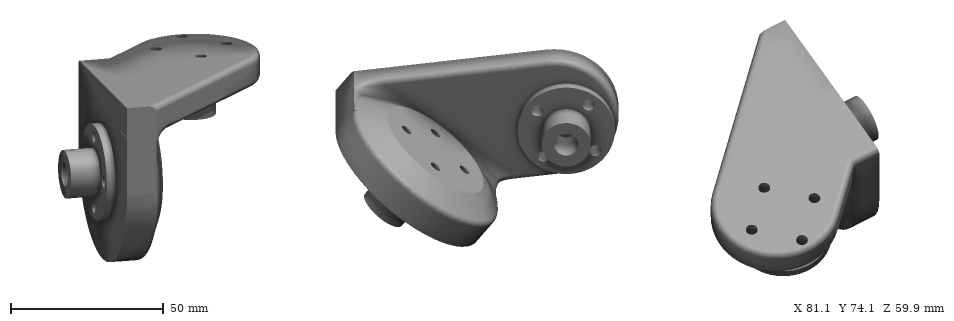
import cadquery as cq
import math

overall_length = 81.1
width = overall_length / (1 + math.sqrt(1 / 8))
plate = 10.0
arm_radius = width / math.sqrt(8)
arm_center_y = plate + arm_radius * math.sqrt(2)
edge_fillet = 1.95
corner_fillet = 5.0
upright_radius = width / 2
upright_center_z = -upright_radius

boss_top_y = 15.0
boss_top_radius = upright_radius - plate
boss_base_radius = 30.7

pad_width = 7.7
pad_height = upright_radius - plate
pad_rise = 0.1

flange_radius = 16.0
flange_thickness = 3.0
hub_radius = 8.0
hub_length = 13.0
bore_radius = 4.0
screw_radius = 1.95
screw_circle_radius = 12.0
screw_count = 4
arm_hub_x = -5.0

split_x = 48.7
tolerance = 0.01


def arm_prism(depth):
    """Arm with a round end and two sides at 45 degrees, tangent to the round end."""
    tangent = arm_radius * math.sqrt(0.5)
    outline = (
        cq.Workplane("XY")
        .lineTo(width, 0)
        .lineTo(width, plate)
        .lineTo(tangent, arm_center_y + tangent)
        .threePointArc((-tangent, arm_center_y + tangent), (-tangent, arm_center_y - tangent))
        .lineTo(0, plate)
        .close()
    )
    return outline.extrude(-depth)


def upright_prism(depth):
    """Upright plate outline with a round lower end, extruded from the front face."""
    outline = (
        cq.Workplane("XZ")
        .lineTo(width, 0)
        .lineTo(width, upright_center_z)
        .threePointArc((upright_radius, 2 * upright_center_z), (0, upright_center_z))
        .close()
    )
    return outline.extrude(-depth)


def inside_corner():
    """Concave fillet strip along the corner under the arm."""
    end = plate + corner_fillet
    strip = cq.Workplane("XY").box(overall_length, corner_fillet, corner_fillet, centered=False)
    strip = strip.translate((width - overall_length, plate, -end))
    rounding = cq.Workplane("YZ").center(end, -end).circle(corner_fillet).extrude(overall_length, both=True)
    return strip.cut(rounding).intersect(arm_prism(end))


def tapered_boss():
    cone = cq.Solid.makeCone(
        boss_base_radius, boss_top_radius, boss_top_y - plate,
        pnt=cq.Vector(upright_radius, plate, upright_center_z), dir=cq.Vector(0, 1, 0),
    )
    return upright_prism(boss_top_y).intersect(cq.Workplane(cone))


def front_pad():
    pad = cq.Workplane("XY").box(pad_width, pad_rise, pad_height, centered=False)
    return pad.translate((width - pad_width, -pad_rise, upright_center_z))


def block(x_min, x_max, z_min, z_max):
    """Cutting block, deep enough in y to hold any part of the bracket."""
    size = 2 * overall_length
    slab = cq.Workplane("XY").box(x_max - x_min, size, z_max - z_min, centered=(False, True, False))
    return slab.translate((x_min, 0, z_min))


def on_arm_wall(point):
    """True on the side wall of the arm: a strip along a 45 degree axis with a round end."""
    along = (point.x - (point.y - arm_center_y)) * math.sqrt(0.5)
    across = (point.x + (point.y - arm_center_y)) * math.sqrt(0.5)
    distance = math.hypot(min(along, 0), across)
    return point.y > plate + tolerance and abs(distance - arm_radius) < tolerance


def on_upright_wall(point):
    """True on the left side and the round lower end of the upright plate."""
    distance = math.hypot(point.x - upright_radius, min(point.z - upright_center_z, 0))
    on_round_end = point.z < upright_center_z and abs(distance - upright_radius) < tolerance
    return on_round_end or abs(point.x) < tolerance


def round_edges(solid, on_wall):
    """Fillet the top and back edges of the walls, leaving the front edges sharp."""
    rim = []
    for edge in solid.edges().vals():
        middle = edge.positionAt(0.5)
        on_rim = abs(middle.z) < tolerance or middle.y > plate - tolerance
        upright_line = abs(edge.tangentAt(0.5).z) > 0.8 - tolerance and edge.geomType() == "LINE"
        wall_seam = upright_line and middle.y > plate + tolerance
        if on_wall(middle) and on_rim and not wall_seam:
            rim.append(edge)
    return cq.Workplane(solid.val().fillet(edge_fillet, rim))


def screw_holes(depth):
    """Screw holes on a circle around the z axis, starting at z = 0."""
    pattern = cq.Workplane("XY").polarArray(screw_circle_radius, 0, 360, screw_count)
    return pattern.circle(screw_radius).extrude(depth)


def hub():
    """Flanged hub along +z with its flange face on z = 0."""
    body = cq.Workplane("XY").circle(flange_radius).extrude(flange_thickness)
    body = body.union(cq.Workplane("XY").circle(hub_radius).extrude(hub_length))
    bore = cq.Workplane("XY").circle(bore_radius).extrude(hub_length)
    return body.cut(bore).cut(screw_holes(flange_thickness))


def face_down(shape):
    """Place a shape built along +z under the arm."""
    return shape.rotate((0, 0, 0), (1, 0, 0), 180).translate((arm_hub_x, arm_center_y, -plate))


def face_front(shape):
    """Place a shape built along +z on the front face of the upright plate."""
    return shape.rotate((0, 0, 0), (1, 0, 0), 90).translate((upright_radius, 0, upright_center_z))


def rounded_bracket():
    """Bracket with rounded rims; the upper right corner of the upright plate stays sharp."""
    sharp = arm_prism(plate).union(upright_prism(plate)).union(inside_corner()).union(tapered_boss())
    far = 2 * overall_length
    left = sharp.intersect(block(-far, split_x, -far, far))
    left = round_edges(left, lambda point: on_arm_wall(point) or on_upright_wall(point))
    upper_right = sharp.intersect(block(split_x, far, upright_center_z, far))
    upper_right = round_edges(upper_right, on_arm_wall)
    lower_right = left.mirror("YZ", (upright_radius, 0, 0))
    lower_right = lower_right.intersect(block(split_x, far, -far, upright_center_z))
    return left.union(upper_right).union(lower_right)


def bracket():
    body = rounded_bracket().union(front_pad())
    body = body.cut(face_down(screw_holes(-plate)))
    return body.cut(face_front(screw_holes(-boss_top_y)))


arm_hub = face_down(hub())
front_hub = face_front(hub())
result = cq.Compound.makeCompound([bracket().val(), arm_hub.val(), front_hub.val()])